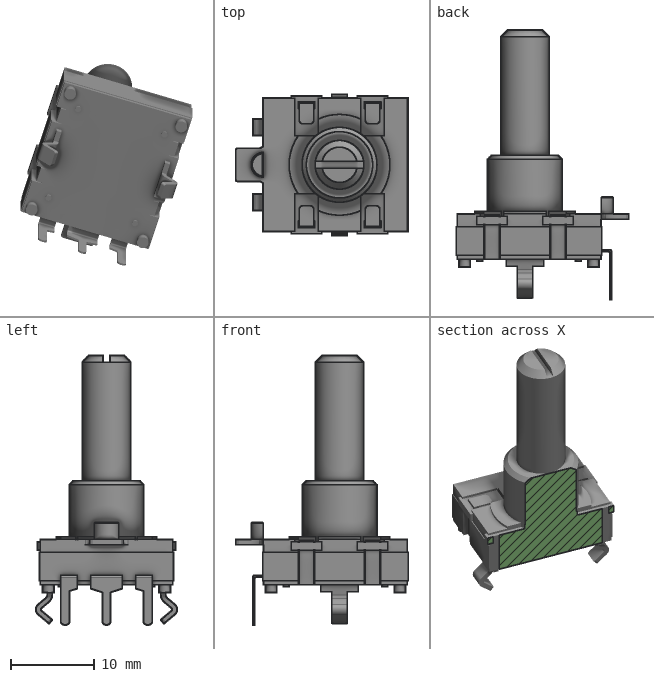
import cadquery as cq
import math


overall_height = 32.4

body_center_x = -0.5
cover_length = 17.3
cover_width = 15.95
housing_overhang = 0.1
base_top_z = 0.5
housing_top_z = 3.95
cover_top_z = 5.48
side_y = cover_width / 2
cover_left_x = body_center_x - cover_length / 2
housing_left_x = cover_left_x - housing_overhang
housing_side_y = side_y + housing_overhang

disc_radius = 6.05
disc_top_z = 5.8
bushing_radius = 4.5
bushing_top_z = 12.55
bushing_chamfer = 0.52
shaft_diameter = 5.85
shaft_radius = shaft_diameter / 2
shaft_top_z = 27.57
shaft_chamfer = 0.8
slot_width = 0.8
slot_depth = 0.8

strap_spacing = 7.95
pocket_width = 2.8
pocket_inner_y = 3.47
pocket_floor_z = 5.2
tab_width = 3.7
tab_bottom_z = 4.18
tab_thickness = 0.32
strap_width = 1.78
strap_outer_y = 7.42
strap_inner_y = 4.92
strap_corner_radius = 0.5
strap_top_z = 5.38
strap_clearance = 0.1
strap_thickness = 0.65

tongue_reach = 3.35
tongue_width = 4.02
tongue_thickness = 0.65
tongue_root_fillet = 0.52
tongue_corner_radius = 0.23
post_radius = 1.5
post_height = 2.05
post_chamfer = 0.13

pin_thickness = 0.23
pin_left_x = -10.4
pin_shelf_z = 1.17
pin_shoulder_z = -0.45
pin_end_z = shaft_top_z - overall_height
pin_tip_height = 0.32
pin_outer_bend_radius = 0.23
pin_inner_bend_radius = 0.2
center_pin_shoulder = 1.9
center_pin_half_width = 0.5
center_pin_neck_z = -0.9
side_pin_outer_y = 5.5
side_pin_inner_y = 3.5
side_pin_blade_y = 4.45
side_pin_neck_z = -0.75

clip_plate_width = 4.55
clip_plate_height = 0.85
clip_leg_width = 1.9
clip_thickness = 0.6
clip_outer_y = 7.13
clip_inner_y = clip_outer_y - clip_thickness
clip_overall_width = 17.0
clip_knee_z = -1.43
clip_knee_radius = 0.55
clip_bend_z = -2.95
clip_end_z = -4.65
clip_slope = math.radians(40)
clip_inner_bend_radius = 0.2
clip_tip_radius = 0.25

peg_diameter = 1.4
peg_height = 0.95
peg_spacing_x = 15.5
peg_spacing_y = 14.0
bump_diameter = 0.7
bump_height = 0.23
bump_spacing_x = 11.85
bump_spacing_y = 10.9


def box(x_min, x_max, y_min, y_max, z_min, z_max):
    size = (x_max - x_min, y_max - y_min, z_max - z_min)
    return cq.Workplane("XY").box(*size, centered=False).translate((x_min, y_min, z_min))


def centered_box(center_x, width, y_min, y_max, z_min, z_max):
    return box(center_x - width / 2, center_x + width / 2, y_min, y_max, z_min, z_max)


def cylinder(radius, z_min, z_max):
    return cq.Workplane("XY").workplane(offset=z_min).circle(radius).extrude(z_max - z_min)


def nearest(point):
    return cq.selectors.NearestToPointSelector(point)


def with_mirror(shape):
    """The shape together with its copy on the other side of the XZ plane."""
    return shape.union(shape.mirror("XZ"))


def body():
    base = centered_box(body_center_x, cover_length, -side_y, side_y, 0, base_top_z)
    housing = centered_box(body_center_x, cover_length + 2 * housing_overhang,
                           -housing_side_y, housing_side_y, base_top_z, housing_top_z)
    cover = centered_box(body_center_x, cover_length, -side_y, side_y, housing_top_z, cover_top_z)
    disc = cylinder(disc_radius, housing_top_z, disc_top_z)
    return base.union(housing).union(cover).union(disc)


def shaft_and_bushing():
    bushing = cylinder(bushing_radius, housing_top_z, bushing_top_z).faces(">Z").chamfer(bushing_chamfer)
    shaft = cylinder(shaft_radius, housing_top_z, shaft_top_z).faces(">Z").chamfer(shaft_chamfer)
    slot = box(-shaft_radius, shaft_radius, -slot_width / 2, slot_width / 2,
               shaft_top_z - slot_depth, shaft_top_z)
    return bushing.union(shaft.cut(slot))


def strap_recess(center_x):
    """Cover pocket, side groove and the opening where the strap hooks over."""
    pocket = centered_box(center_x, pocket_width, pocket_inner_y, side_y, pocket_floor_z, disc_top_z)
    opening_width = strap_width + 2 * strap_clearance
    groove_floor_y = strap_outer_y - strap_thickness
    groove = centered_box(center_x, opening_width, groove_floor_y, housing_side_y, 0, tab_bottom_z)
    opening = centered_box(center_x, opening_width, groove_floor_y, strap_outer_y + strap_clearance,
                           tab_bottom_z, pocket_floor_z)
    return pocket.union(groove).union(opening)


def strap(center_x):
    """Upright strap with a round-cornered hook lying on the pocket floor."""
    upright = centered_box(center_x, strap_width, strap_outer_y - strap_thickness, strap_outer_y,
                           0, strap_top_z)
    hook = centered_box(center_x, strap_width, strap_inner_y, strap_outer_y, tab_bottom_z, strap_top_z)
    hook = hook.edges("|Z and <Y").fillet(strap_corner_radius)
    tab = centered_box(center_x, tab_width, side_y, side_y + tab_thickness, tab_bottom_z, pocket_floor_z)
    return upright.union(hook).union(tab)


def tongue():
    tip_x = cover_left_x - tongue_reach
    plate = box(tip_x, cover_left_x, -tongue_width / 2, tongue_width / 2,
                cover_top_z - tongue_thickness, cover_top_z)
    plate = plate.edges("|Z and <X").fillet(tongue_corner_radius)
    root = (
        cq.Workplane("XY")
        .workplane(offset=cover_top_z - tongue_thickness)
        .moveTo(cover_left_x - tongue_root_fillet, tongue_width / 2)
        .radiusArc((cover_left_x, tongue_width / 2 + tongue_root_fillet), -tongue_root_fillet)
        .lineTo(cover_left_x, tongue_width / 2)
        .close()
        .extrude(tongue_thickness)
    )
    post = (
        cq.Workplane("XY")
        .workplane(offset=cover_top_z)
        .moveTo(cover_left_x, post_radius)
        .threePointArc((cover_left_x - post_radius, 0), (cover_left_x, -post_radius))
        .close()
        .extrude(post_height)
        .faces(">Z")
        .chamfer(post_chamfer)
    )
    return plate.union(with_mirror(root)).union(post)


def bent_pin(blade_outline):
    """L-bent strip leaving the housing, trimmed to the blade outline in the YZ plane."""
    strip = (
        cq.Workplane("XZ")
        .moveTo(housing_left_x, pin_shelf_z)
        .lineTo(pin_left_x, pin_shelf_z)
        .lineTo(pin_left_x, pin_end_z)
        .lineTo(pin_left_x + pin_thickness, pin_end_z)
        .lineTo(pin_left_x + pin_thickness, pin_shelf_z - pin_thickness)
        .lineTo(housing_left_x, pin_shelf_z - pin_thickness)
        .close()
        .extrude(side_pin_outer_y, both=True)
    )
    outer_corner = (pin_left_x, 0, pin_shelf_z)
    inner_corner = (pin_left_x + pin_thickness, 0, pin_shelf_z - pin_thickness)
    strip = strip.edges(nearest(inner_corner)).fillet(pin_inner_bend_radius)
    strip = strip.edges(nearest(outer_corner)).fillet(pin_outer_bend_radius)
    return strip.intersect(blade_outline.extrude(housing_left_x - pin_left_x))


def blade_start():
    return cq.Workplane("YZ").workplane(offset=pin_left_x)


def center_pin():
    outline = (
        blade_start()
        .moveTo(-center_pin_shoulder, pin_shelf_z)
        .lineTo(-center_pin_shoulder, pin_shoulder_z)
        .lineTo(-center_pin_half_width, center_pin_neck_z)
        .lineTo(-center_pin_half_width, pin_end_z + pin_tip_height)
        .threePointArc((0, pin_end_z), (center_pin_half_width, pin_end_z + pin_tip_height))
        .lineTo(center_pin_half_width, center_pin_neck_z)
        .lineTo(center_pin_shoulder, pin_shoulder_z)
        .lineTo(center_pin_shoulder, pin_shelf_z)
        .close()
    )
    return bent_pin(outline)


def side_pin():
    outline = (
        blade_start()
        .moveTo(side_pin_outer_y, pin_shelf_z)
        .lineTo(side_pin_outer_y, pin_end_z + pin_tip_height)
        .threePointArc(((side_pin_outer_y + side_pin_blade_y) / 2, pin_end_z),
                       (side_pin_blade_y, pin_end_z + pin_tip_height))
        .lineTo(side_pin_blade_y, side_pin_neck_z)
        .lineTo(side_pin_inner_y, pin_shoulder_z)
        .lineTo(side_pin_inner_y, pin_shelf_z)
        .close()
    )
    return bent_pin(outline)


def clip():
    """Plate below the body carrying a leg that bows outward and hooks back."""
    plate = centered_box(0, clip_plate_width, clip_inner_y, clip_outer_y, -clip_plate_height, base_top_z)

    rise = math.tan(clip_slope)
    bend_y = clip_outer_y + (clip_knee_z - clip_bend_z) / rise
    inner_bend_y = bend_y - clip_thickness / math.sin(clip_slope)
    inner_knee_z = clip_bend_z + (inner_bend_y - clip_inner_y) * rise
    tip_y = bend_y - (clip_bend_z - clip_end_z) / rise
    inner_tip_y = tip_y - clip_thickness * math.sin(clip_slope)
    inner_tip_z = clip_end_z + clip_thickness * math.cos(clip_slope)

    bend_radius = (bend_y - clip_overall_width / 2) / (1 / math.sin(clip_slope) - 1)

    leg = (
        cq.Workplane("YZ")
        .moveTo(clip_inner_y, 0)
        .lineTo(clip_inner_y, inner_knee_z)
        .lineTo(inner_bend_y, clip_bend_z)
        .lineTo(inner_tip_y, inner_tip_z)
        .lineTo(tip_y, clip_end_z)
        .lineTo(bend_y, clip_bend_z)
        .lineTo(clip_outer_y, clip_knee_z)
        .lineTo(clip_outer_y, 0)
        .close()
        .extrude(clip_leg_width / 2, both=True)
    )
    tip_center = (0, (tip_y + inner_tip_y) / 2, (clip_end_z + inner_tip_z) / 2)
    leg = leg.faces(nearest(tip_center)).edges("not |X").fillet(clip_tip_radius)
    rounded_corners = (
        (bend_y, clip_bend_z, bend_radius),
        (inner_bend_y, clip_bend_z, clip_inner_bend_radius),
        (clip_outer_y, clip_knee_z, clip_knee_radius),
        (clip_inner_y, inner_knee_z, clip_knee_radius + clip_thickness),
    )
    for corner_y, corner_z, radius in rounded_corners:
        leg = leg.edges(nearest((0, corner_y, corner_z))).fillet(radius)
    return plate.union(leg)


def feet(diameter, height, spacing_x, spacing_y):
    return (
        cq.Workplane("XY")
        .center(body_center_x, 0)
        .rect(spacing_x, spacing_y, forConstruction=True)
        .vertices()
        .circle(diameter / 2)
        .extrude(-height)
    )


result = body()
for strap_x in (-strap_spacing / 2, strap_spacing / 2):
    result = result.cut(with_mirror(strap_recess(strap_x)))
    result = result.union(with_mirror(strap(strap_x)))
result = result.union(shaft_and_bushing())
result = result.union(tongue())
result = result.union(center_pin())
result = result.union(with_mirror(side_pin()))
result = result.union(with_mirror(clip()))
result = result.union(feet(peg_diameter, peg_height, peg_spacing_x, peg_spacing_y))
result = result.union(feet(bump_diameter, bump_height, bump_spacing_x, bump_spacing_y))